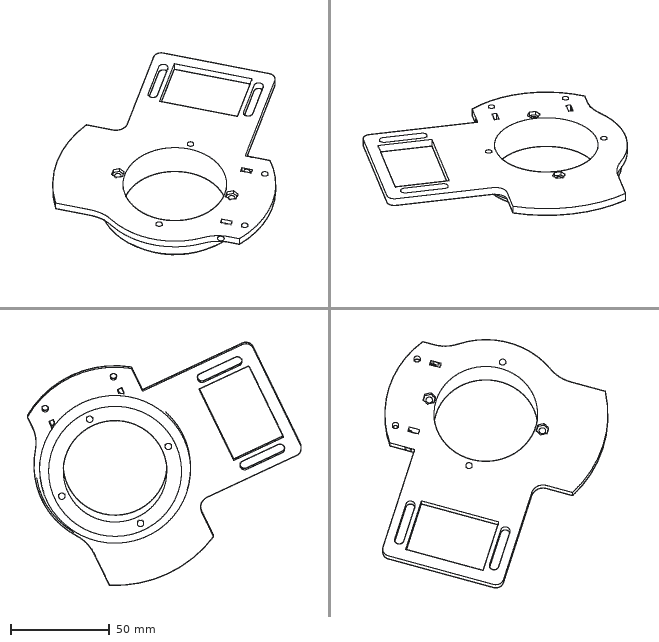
import cadquery as cq
import math

total_height = 17.1
plate_thickness = 4.0

left_wing_radius = 62.0
right_wing_radius = 51.3
wing_half_width = 29.3
lobe_radius = 41.2
lobe_blend_radius = 20.0

bracket_width = 63.8
bracket_center_x = -2.9
bracket_top_y = 89.6
bracket_corner_radius = 4.0
bracket_root_radius = 6.0
window_width = 40.9
window_height = 28.0
window_center_y = 69.6
slot_spacing = 50.2
slot_length = 24.6
slot_width = 4.7
slot_center_y = 69.5

bore_diameter = 52.6
collar_diameter = 76.6
collar_blend_radius = 2.0
collar_chamfer_height = 5.0
collar_chamfer_width = 4.6

screw_diameter = 3.3
bolt_circle_radius = 30.0
hex_across_corners = 6.5
hex_depth = 2.0
edge_hole_x = 42.1
side_feature_y = 19.2
nut_slot_x = 32.4
nut_slot_length = 5.5
nut_slot_width = 2.4
nut_slot_depth = 6.3


def wing_corner_x(radius):
    """Distance from the axis where a wing arc meets the straight wing edge."""
    return math.sqrt(radius**2 - wing_half_width**2)


def make_plate():
    left = bracket_center_x - bracket_width / 2
    right = bracket_center_x + bracket_width / 2
    left_corner = wing_corner_x(left_wing_radius)
    right_corner = wing_corner_x(right_wing_radius)

    blend_y = -wing_half_width - lobe_blend_radius
    center_distance = lobe_radius + lobe_blend_radius
    blend_x = math.sqrt(center_distance**2 - blend_y**2)
    lobe_end_x = blend_x * lobe_radius / center_distance
    lobe_end_y = blend_y * lobe_radius / center_distance
    mid_angle = (math.pi / 2 + math.atan2(-blend_y, -blend_x)) / 2
    blend_mid_x = blend_x + lobe_blend_radius * math.cos(mid_angle)
    blend_mid_y = blend_y + lobe_blend_radius * math.sin(mid_angle)

    plate = (
        cq.Workplane("XY", origin=(0, 0, -plate_thickness))
        .moveTo(left, bracket_top_y)
        .lineTo(right, bracket_top_y)
        .lineTo(right, wing_half_width)
        .lineTo(right_corner, wing_half_width)
        .threePointArc((right_wing_radius, 0), (right_corner, -wing_half_width))
        .lineTo(blend_x, -wing_half_width)
        .threePointArc((blend_mid_x, blend_mid_y), (lobe_end_x, lobe_end_y))
        .threePointArc((0, -lobe_radius), (-lobe_end_x, lobe_end_y))
        .threePointArc((-blend_mid_x, blend_mid_y), (-blend_x, -wing_half_width))
        .lineTo(-left_corner, -wing_half_width)
        .threePointArc((-left_wing_radius, 0), (-left_corner, wing_half_width))
        .lineTo(left, wing_half_width)
        .close()
        .extrude(plate_thickness)
    )
    plate = plate.edges("|Z and >Y").fillet(bracket_corner_radius)
    root = cq.selectors.NearestToPointSelector((left, wing_half_width, -plate_thickness / 2))
    return plate.edges(root).fillet(bracket_root_radius)


def make_collar():
    """Revolved collar with a concave blend under the plate and a bevelled lower rim."""
    radius = collar_diameter / 2
    blend_outer = radius + collar_blend_radius
    blend_bottom = -plate_thickness - collar_blend_radius
    blend_mid = collar_blend_radius * math.sqrt(0.5)
    return (
        cq.Workplane("XZ")
        .moveTo(0, -plate_thickness)
        .lineTo(blend_outer, -plate_thickness)
        .threePointArc((blend_outer - blend_mid, blend_bottom + blend_mid), (radius, blend_bottom))
        .lineTo(radius, -total_height + collar_chamfer_height)
        .lineTo(radius - collar_chamfer_width, -total_height)
        .lineTo(0, -total_height)
        .close()
        .revolve(360, (0, 0, 0), (0, 1, 0))
    )


def cut_bracket_openings(body):
    body = body.cut(
        cq.Workplane("XY")
        .center(bracket_center_x, window_center_y)
        .rect(window_width, window_height)
        .extrude(-plate_thickness)
    )
    slots = (
        cq.Workplane("XY")
        .center(bracket_center_x, slot_center_y)
        .pushPoints([(-slot_spacing / 2, 0), (slot_spacing / 2, 0)])
        .slot2D(slot_length, slot_width, 90)
        .extrude(-plate_thickness)
    )
    return body.cut(slots)


def cut_vertical_holes(body):
    bore = cq.Workplane("XY").circle(bore_diameter / 2).extrude(-total_height)
    bolt_holes = (
        cq.Workplane("XY")
        .polarArray(bolt_circle_radius, 0, 360, 4)
        .circle(screw_diameter / 2)
        .extrude(-total_height)
    )
    edge_holes = (
        cq.Workplane("XY")
        .pushPoints([(edge_hole_x, -side_feature_y), (edge_hole_x, side_feature_y)])
        .circle(screw_diameter / 2)
        .extrude(-plate_thickness)
    )
    return body.cut(bore).cut(bolt_holes).cut(edge_holes)


def cut_hex_pockets(body):
    """Hexagonal nut recesses over the two bolt holes on the X axis."""
    for x in (-bolt_circle_radius, bolt_circle_radius):
        pocket = (
            cq.Workplane("XY")
            .polygon(6, hex_across_corners)
            .extrude(-hex_depth)
            .rotate((0, 0, 0), (0, 0, 1), 30)
            .translate((x, 0, 0))
        )
        body = body.cut(pocket)
    return body


def cut_side_screws(body):
    """Nut slots, each reached by a screw hole from the nearest wing edge."""
    for side in (-1, 1):
        slot = (
            cq.Workplane("XY")
            .center(nut_slot_x, side * side_feature_y)
            .rect(nut_slot_length, nut_slot_width)
            .extrude(-nut_slot_depth)
        )
        screw_hole = (
            cq.Workplane("XZ", origin=(nut_slot_x, side * side_feature_y, -plate_thickness / 2))
            .circle(screw_diameter / 2)
            .extrude(-side * (lobe_radius - side_feature_y))
        )
        body = body.cut(slot).cut(screw_hole)
    return body


body = make_plate().union(make_collar())
body = cut_bracket_openings(body)
body = cut_vertical_holes(body)
body = cut_hex_pockets(body)
result = cut_side_screws(body)